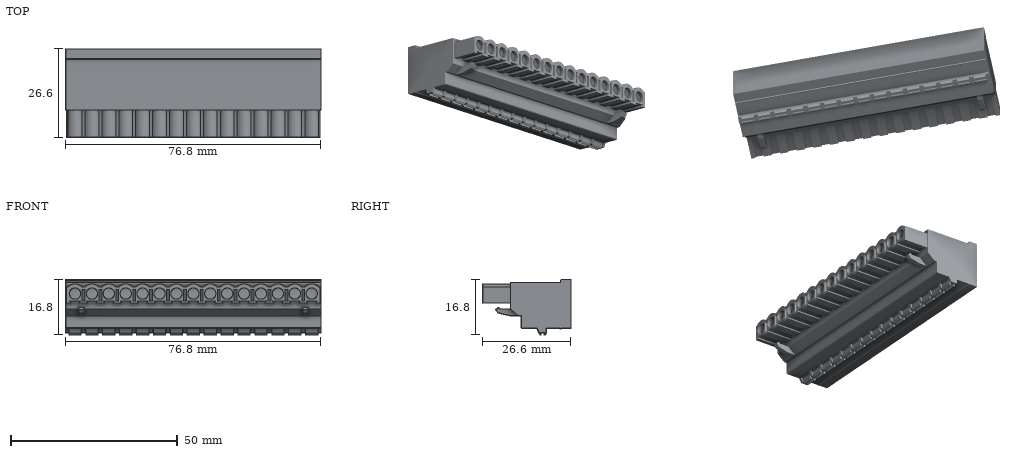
import cadquery as cq


length = 76.8
depth = 26.6
height = 16.75

body_depth = 18.3
deck_z = height - 0.9
ridge_depth = 3.2
ridge_chamfer = 0.4
body_bottom_z = 2.0
front_bottom_z = 7.8
slope_depth = 15.9
step_z = 5.75
step_depth = 15.0
step_chamfer = 0.2
bead_depth = 3.15
bead_size = 0.2

pole_count = 15
row_margin = 0.3
pitch = (length - 2 * row_margin) / pole_count
sleeve_bottom_z = 9.6
sleeve_valley_z = 14.45
valley_width = 0.9
bore_z = 12.45
crown_z = 15.4
bore_diameter = 3.4
bore_depth = 1.3
slot_width = 0.85
slot_bottom_z = 10.3
slot_top_z = 13.75
notch_top_width = 3.2
notch_mouth_width = 2.45
notch_top_z = slot_bottom_z
sleeve_length = depth - body_depth

rail_back_depth = 7.45
rail_top_depth = 10.3
rail_bottom_depth = 9.7
rail_bottom_z = 0.6
foot_width = 3.7
foot_front_depth = rail_bottom_depth
nib_width = 0.7
nib_tip_width = 0.3
slit_width = 0.2
slit_depth = 0.9

arm_width = 1.45
arm_spacing = 67.3
arm_barb_depth = 21.3
arm_barb_z = 8.3
arm_barb_tip_depth = 21.8
arm_nose_depth = 22.7
arm_nose_z = 7.7
arm_nose_bottom_depth = 21.9
arm_nose_bottom_z = 6.6

pole_xs = [(i - (pole_count - 1) / 2) * pitch for i in range(pole_count)]
gap_xs = [x + pitch / 2 for x in pole_xs[:-1]]


def extrude_along_x(points, width, center_x=0.0):
    """Extrude an outline of (depth from the back face, Z) points, centred on center_x."""
    outline = [(-d, z) for d, z in points]
    start = cq.Workplane("YZ").workplane(offset=center_x - width / 2)
    return start.polyline(outline).close().extrude(width)


def box_between(x_center, width, front_depth, back_depth, z_low, z_high):
    """Box given by its X centre and width, and its limits in depth and height."""
    size = (width, front_depth - back_depth, z_high - z_low)
    center = (x_center, -(front_depth + back_depth) / 2, (z_low + z_high) / 2)
    return cq.Workplane("XY").box(*size).translate(center)


def make_housing():
    return extrude_along_x(
        [
            (0, body_bottom_z),
            (0, height),
            (ridge_depth - ridge_chamfer, height),
            (ridge_depth, height - ridge_chamfer),
            (ridge_depth, deck_z),
            (body_depth, deck_z),
            (body_depth, front_bottom_z),
            (slope_depth, step_z),
            (step_depth, step_z),
            (step_depth, body_bottom_z + step_chamfer),
            (step_depth - step_chamfer, body_bottom_z),
            (bead_depth + bead_size, body_bottom_z),
            (bead_depth, body_bottom_z - bead_size),
            (bead_depth - bead_size, body_bottom_z),
        ],
        length,
    )


def make_sleeves():
    """Row of arched sleeves with dovetail notches underneath."""
    half_arch = (pitch - valley_width) / 2
    row_left = pole_xs[0] - pitch / 2
    row_right = pole_xs[-1] + pitch / 2
    outline = cq.Workplane("XZ", origin=(0, -body_depth, 0))
    outline = outline.moveTo(row_left, sleeve_bottom_z).lineTo(row_left, sleeve_valley_z)
    for x in pole_xs:
        outline = outline.lineTo(x - half_arch, sleeve_valley_z)
        outline = outline.threePointArc((x, crown_z), (x + half_arch, sleeve_valley_z))
    outline = outline.lineTo(row_right, sleeve_valley_z).lineTo(row_right, sleeve_bottom_z)
    for x in reversed(pole_xs):
        outline = outline.lineTo(x + notch_mouth_width / 2, sleeve_bottom_z)
        outline = outline.lineTo(x + notch_top_width / 2, notch_top_z)
        outline = outline.lineTo(x - notch_top_width / 2, notch_top_z)
        outline = outline.lineTo(x - notch_mouth_width / 2, sleeve_bottom_z)
    return outline.close().extrude(sleeve_length)


def make_sleeve_cuts():
    """Shallow round bores in the sleeves, and slots between them reaching the housing front."""
    face = cq.Workplane("XZ", origin=(0, -depth, 0))
    slot_z = (slot_bottom_z + slot_top_z) / 2
    bores = face.pushPoints([(x, bore_z) for x in pole_xs]).circle(bore_diameter / 2).extrude(-bore_depth)
    slots = face.pushPoints([(x, slot_z) for x in gap_xs])
    slots = slots.rect(slot_width, slot_top_z - slot_bottom_z).extrude(-sleeve_length)
    return bores.union(slots)


def make_rail():
    return extrude_along_x(
        [
            (rail_back_depth, body_bottom_z),
            (rail_top_depth, body_bottom_z),
            (rail_bottom_depth, rail_bottom_z),
            (rail_back_depth, rail_bottom_z),
        ],
        length,
    )


def make_foot_relief(x):
    """Cut that makes the rail front upright over one foot, with a slit on both sides of the foot."""
    z_limits = (rail_bottom_z, body_bottom_z)
    relief = box_between(x, foot_width, rail_top_depth, foot_front_depth, *z_limits)
    slit_back_depth = rail_top_depth - slit_depth
    for side in (-1, 1):
        slit_x = x + side * (foot_width + slit_width) / 2
        relief = relief.union(box_between(slit_x, slit_width, rail_top_depth, slit_back_depth, *z_limits))
    return relief


def make_foot(x):
    """Two tapered nibs under the rail, leaning towards each other."""
    front_nib = extrude_along_x(
        [
            (foot_front_depth, rail_bottom_z),
            (foot_front_depth - nib_width + nib_tip_width, 0),
            (foot_front_depth - nib_width, 0),
            (foot_front_depth - nib_width, rail_bottom_z),
        ],
        foot_width,
        x,
    )
    back_nib = extrude_along_x(
        [
            (rail_back_depth, rail_bottom_z),
            (rail_back_depth + nib_width - nib_tip_width, 0),
            (rail_back_depth + nib_width, 0),
            (rail_back_depth + nib_width, rail_bottom_z),
        ],
        foot_width,
        x,
    )
    return front_nib.union(back_nib)


def make_latch_arm(x):
    """Arm reaching forward from the sloped face, with an upturned barb at its end."""
    return extrude_along_x(
        [
            (slope_depth, step_z),
            (body_depth, front_bottom_z),
            (arm_barb_depth, front_bottom_z),
            (arm_barb_tip_depth, arm_barb_z),
            (arm_nose_depth, arm_nose_z),
            (arm_nose_bottom_depth, arm_nose_bottom_z),
            (body_depth, step_z),
        ],
        arm_width,
        x,
    )


result = make_housing().union(make_sleeves()).cut(make_sleeve_cuts()).union(make_rail())
for pole_x in pole_xs:
    result = result.cut(make_foot_relief(pole_x)).union(make_foot(pole_x))
for side in (-1, 1):
    result = result.union(make_latch_arm(side * arm_spacing / 2))